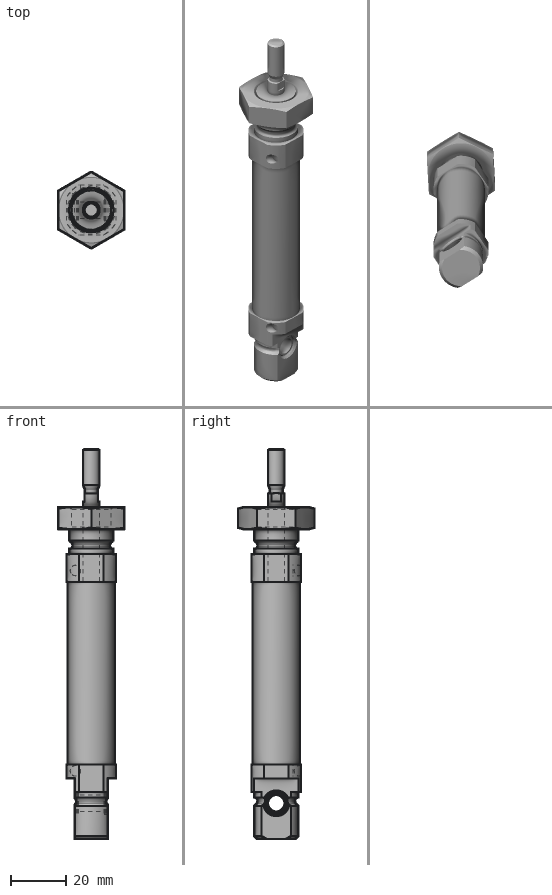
import cadquery as cq
import math

TOLERANCE = 0.01

total_length = 141.0
rod_shoulder_z = 125.0
nut_top_z = 120.0
front_cap_top_z = 103.0
cap_length = 10.0
front_cap_bottom_z = front_cap_top_z - cap_length
rear_cap_bottom_z = 17.0
rear_cap_top_z = rear_cap_bottom_z + cap_length

rod_diameter = 6.0
rod_neck_diameter = 4.8
rod_tip_chamfer_height = 0.4
rod_neck_length = 1.5
rod_neck_cone_length = 1.5
rod_neck_fillet = 0.3
rod_flat_width = 5.0
rod_flat_height = 3.0

tube_diameter = 17.3
cap_corner_diameter = 20.0
cap_flat_width = 18.0

thread_diameter = 16.0
thread_end_diameter = 13.7
relief_diameter = 13.7
thread_end_chamfer = (thread_diameter - thread_end_diameter) / 2
collar_length = 2.0
relief_length = 3.0
relief_fillet = 0.8
relief_depth = (thread_diameter - relief_diameter) / 2

lug_thickness = 12.0
lug_top_z = 22.0
pin_hole_z = 13.0
pin_hole_diameter = 6.0
pin_bush_diameter = 8.0
pin_bush_chamfer = 0.35
pin_bush_recess = 1.0
pin_seat_chamfer = 0.6

corner_hole_diameter = 3.8
corner_hole_x = -5.7
corner_hole_bottom_y = 6.0
front_corner_hole_z = 97.1
rear_corner_hole_z = 24.7

nut_width = 24.0
nut_height = 8.0
nut_chamfer_diameter = 23.7
nut_chamfer_angle = 15.0
nut_bottom_z = nut_top_z - nut_height
nut_bore_diameter = 14.38
nut_countersink_depth = (thread_diameter - nut_bore_diameter) / 2
nose_top_z = nut_top_z


def turned(profile):
    """Solid of revolution about Z from (radius, height) points."""
    return cq.Workplane("XZ").polyline(profile).close().revolve(360, (0, 0, 0), (0, 1, 0))


def cylinder(diameter, bottom_z, top_z):
    return cq.Workplane("XY").workplane(offset=bottom_z).circle(diameter / 2).extrude(top_z - bottom_z)


def round_relief(body, diameter, bottom_z, top_z, fillet):
    """Round the inner corners of a turned relief groove lying between two heights."""
    band = cq.selectors.BoxSelector(
        (-diameter, -diameter, bottom_z - TOLERANCE), (diameter, diameter, top_z + TOLERANCE)
    )
    corners = [
        edge
        for edge in body.edges("%CIRCLE").edges(band).vals()
        if math.isclose(edge.radius(), diameter / 2)
    ]
    return body.newObject(corners).fillet(fillet)


def slab(width_x, width_y, bottom_z, top_z):
    return cq.Workplane("XY").workplane(offset=bottom_z).rect(width_x, width_y).extrude(top_z - bottom_z)


def make_rod():
    radius = rod_diameter / 2
    neck_radius = rod_neck_diameter / 2
    neck_top_z = rod_shoulder_z + rod_neck_length
    neck_cone_top_z = neck_top_z + rod_neck_cone_length
    rod = turned([
        (0, front_cap_bottom_z),
        (radius, front_cap_bottom_z),
        (radius, rod_shoulder_z),
        (neck_radius, rod_shoulder_z),
        (neck_radius, neck_top_z),
        (radius, neck_cone_top_z),
        (radius, total_length - rod_tip_chamfer_height),
        (neck_radius, total_length),
        (0, total_length),
    ])
    rod = round_relief(rod, rod_neck_diameter, rod_shoulder_z, neck_cone_top_z, rod_neck_fillet)
    flat_bottom_z = rod_shoulder_z - rod_flat_height
    flats = cylinder(rod_diameter, flat_bottom_z, neck_top_z).cut(
        slab(rod_flat_width, rod_diameter, flat_bottom_z, neck_top_z)
    )
    return rod.cut(flats)


def make_cap(bottom_z, top_z):
    return cylinder(cap_corner_diameter, bottom_z, top_z).intersect(
        slab(cap_flat_width, cap_flat_width, bottom_z, top_z)
    )


def make_nose():
    """Front stub that steps down to the nut's bore diameter where the nut sits."""
    radius = thread_diameter / 2
    relief_radius = relief_diameter / 2
    relief_bottom_z = front_cap_top_z + collar_length
    relief_top_z = relief_bottom_z + relief_length
    nose = turned([
        (0, front_cap_top_z),
        (radius, front_cap_top_z),
        (radius, relief_bottom_z),
        (relief_radius, relief_bottom_z),
        (relief_radius, relief_top_z - relief_depth),
        (radius, relief_top_z),
        (radius, nut_bottom_z),
        (nut_bore_diameter / 2, nut_bottom_z + nut_countersink_depth),
        (nut_bore_diameter / 2, nose_top_z),
        (0, nose_top_z),
    ])
    return round_relief(nose, relief_diameter, relief_bottom_z, relief_top_z, relief_fillet)


def make_rear_stub():
    radius = thread_diameter / 2
    relief_radius = relief_diameter / 2
    relief_top_z = rear_cap_bottom_z - collar_length
    relief_bottom_z = relief_top_z - relief_length
    stub = turned([
        (0, rear_cap_bottom_z),
        (radius, rear_cap_bottom_z),
        (radius, relief_top_z),
        (relief_radius, relief_top_z),
        (relief_radius, relief_bottom_z + relief_depth),
        (radius, relief_bottom_z),
        (radius, thread_end_chamfer),
        (thread_end_diameter / 2, 0),
        (0, 0),
    ])
    return round_relief(stub, relief_diameter, relief_bottom_z, relief_top_z, relief_fillet)


def make_lug_cutter():
    """Material removed to leave the flat lug at the rear end."""
    outside = slab(cap_corner_diameter, cap_corner_diameter, 0, lug_top_z)
    return outside.cut(slab(lug_thickness, cap_corner_diameter, 0, lug_top_z))


def make_pin_hole():
    """Hole through the lug along X with a recessed bush, its rim and seat chamfered at both mouths."""
    half = lug_thickness / 2
    hole_radius = pin_hole_diameter / 2
    bush_radius = pin_bush_diameter / 2
    bush_face_x = half - pin_bush_recess
    profile = [
        (0, 0),
        (0, hole_radius),
        (bush_face_x, hole_radius),
        (bush_face_x, bush_radius - pin_bush_chamfer),
        (bush_face_x - pin_bush_chamfer, bush_radius),
        (half - pin_seat_chamfer, bush_radius),
        (half, bush_radius + pin_seat_chamfer),
        (half, 0),
    ]
    half_hole = cq.Workplane("XZ").polyline(profile).close().revolve(360, (0, 0, 0), (1, 0, 0))
    hole = half_hole.union(half_hole.mirror("YZ"))
    return hole.translate((0, 0, pin_hole_z))


def make_corner_hole(z):
    """Blind hole sunk along Y into the rounded corner between the -X and +Y flats."""
    bottom = cq.Workplane("XZ", origin=(corner_hole_x, corner_hole_bottom_y, z))
    return bottom.circle(corner_hole_diameter / 2).extrude(-cap_corner_diameter)


def make_housing():
    housing = cylinder(tube_diameter, rear_cap_top_z, front_cap_bottom_z)
    housing = housing.union(make_cap(front_cap_bottom_z, front_cap_top_z))
    housing = housing.union(make_cap(rear_cap_bottom_z, rear_cap_top_z))
    housing = housing.union(make_nose()).union(make_rear_stub())
    housing = housing.cut(make_lug_cutter()).cut(make_pin_hole())
    for z in (front_corner_hole_z, rear_corner_hole_z):
        housing = housing.cut(make_corner_hole(z))
    return housing.cut(cylinder(rod_diameter, front_cap_bottom_z, nose_top_z))


def make_nut():
    corner_diameter = nut_width / math.cos(math.radians(30))
    face_radius = nut_chamfer_diameter / 2
    corner_radius = corner_diameter / 2
    drop = (corner_radius - face_radius) * math.tan(math.radians(nut_chamfer_angle))
    base = cq.Workplane("XY").workplane(offset=nut_bottom_z)
    hexagon = base.polygon(6, corner_diameter).extrude(nut_height)
    hexagon = hexagon.rotate((0, 0, 0), (0, 0, 1), 90)
    bore_radius = nut_bore_diameter / 2
    mouth_radius = thread_diameter / 2
    envelope = turned([
        (mouth_radius, nut_bottom_z),
        (face_radius, nut_bottom_z),
        (corner_radius, nut_bottom_z + drop),
        (corner_radius, nut_top_z - drop),
        (face_radius, nut_top_z),
        (mouth_radius, nut_top_z),
        (bore_radius, nut_top_z - nut_countersink_depth),
        (bore_radius, nut_bottom_z + nut_countersink_depth),
    ])
    return hexagon.intersect(envelope)


rod = make_rod()
housing = make_housing()
nut = make_nut()

result = cq.Compound.makeCompound([rod.val(), housing.val(), nut.val()])